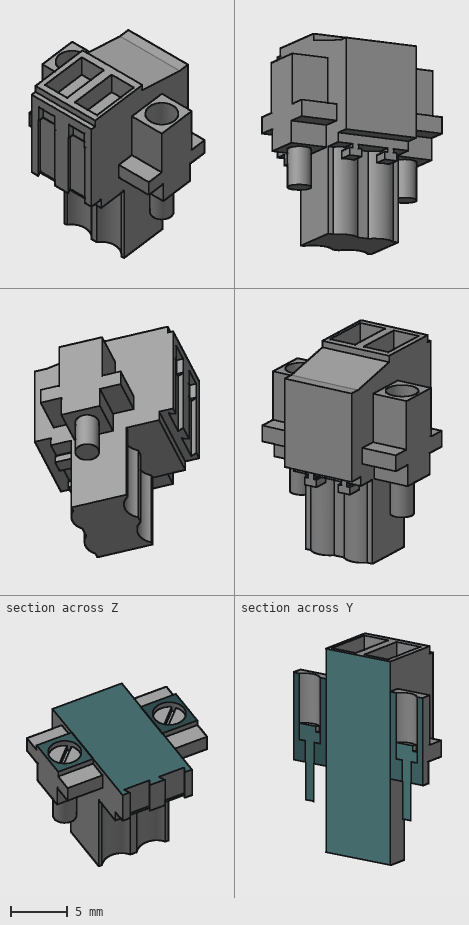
import cadquery as cq
import math


pitch = 3.5
pole_count = 2
housing_width = pole_count * pitch
back_y = 5.5
front_y = -7.4
roof_z = 10.8
wire_end_y = -0.6
roof_front_y = -6.9
front_shoulder_z = 10.1
slope_top_z = 10.2
slope_back_y = 4.4
back_top_z = 9.15
back_step_y = 4.0
back_step_z = 0.85
front_step_y = -6.1
front_step_z = 1.0
pole_centers = [(i - (pole_count - 1) / 2) * pitch for i in range(pole_count)]

plug_bottom_z = -7.9
plug_front_y = -3.05
plug_back_y = 2.1
pole_radius = pitch / 2
groove_depth = 0.74
lobe_height = 0.5

latch_neck_width = 0.6
latch_foot_width = 1.2
latch_neck_z = -0.35
latch_bottom_z = -1.05

pocket_width = 2.6
pocket_back_y = -1.35
pocket_front_y = -6.25
pocket_depth = 2.05
pocket_offset_x = 0.1

dovetail_mouth_width = 1.95
dovetail_undercut = 0.27
dovetail_depth = 0.57
dovetail_top_z = 7.5
window_width = 1.85
window_depth = 0.6
window_top_z = 9.1

flange_width = 3.5
flange_top_z = 8.05
tower_half_y = 2.0
foot_half_y = 1.8
wing_half_y = 3.73
wing_bottom_z = 2.0
wing_top_z = 3.5
flange_center_x = (housing_width + flange_width) / 2

head_diameter = 2.9
shank_diameter = 2.1
screw_bottom_z = -3.45
head_bottom_z = wing_bottom_z
head_top_z = wing_top_z
drive_slot_width = 0.4
drive_slot_depth = 0.5
drive_slot_angle = 45


def box_between(x_range, y_range, z_range):
    """Box spanning the given (low, high) limits along each axis."""
    (x0, x1), (y0, y1), (z0, z1) = x_range, y_range, z_range
    return cq.Workplane("XY").box(x1 - x0, y1 - y0, z1 - z0, centered=False).translate((x0, y0, z0))


def span(center, width):
    """Low and high limits of a width centered on a place."""
    return (center - width / 2, center + width / 2)


def side_extrusion(points, center_x, width):
    """Closed (Y, Z) outline extruded along X, centered on center_x."""
    return cq.Workplane("YZ").polyline(points).close().extrude(width / 2, both=True).translate((center_x, 0, 0))


def make_shell():
    outline = [
        (back_step_y, 0),
        (back_step_y, back_step_z),
        (back_y, back_step_z),
        (back_y, back_top_z),
        (slope_back_y, back_top_z),
        (wire_end_y, slope_top_z),
        (wire_end_y, roof_z),
        (roof_front_y, roof_z),
        (roof_front_y, front_shoulder_z),
        (front_y, front_shoulder_z),
        (front_y, front_step_z),
        (front_step_y, front_step_z),
        (front_step_y, 0),
    ]
    return side_extrusion(outline, 0, housing_width)


def make_plug():
    """Contact plug with a concave groove in front and a convex lobe behind each pole."""
    groove_half = math.sqrt(pole_radius**2 - (pole_radius - groove_depth) ** 2)
    lobe_half = math.sqrt(pole_radius**2 - (pole_radius - lobe_height) ** 2)
    half_width = housing_width / 2
    outline = cq.Workplane("XY").moveTo(-half_width, plug_front_y)
    for x in pole_centers:
        outline = outline.lineTo(x - groove_half, plug_front_y).threePointArc(
            (x, plug_front_y + groove_depth), (x + groove_half, plug_front_y)
        )
    outline = outline.lineTo(half_width, plug_front_y).lineTo(half_width, plug_back_y)
    for x in reversed(pole_centers):
        outline = outline.lineTo(x + lobe_half, plug_back_y).threePointArc(
            (x, plug_back_y + lobe_height), (x - lobe_half, plug_back_y)
        )
    return outline.lineTo(-half_width, plug_back_y).close().extrude(plug_bottom_z)


def make_latch(x):
    """Narrow neck under the housing carrying a wider foot."""
    y_range = (plug_back_y, back_step_y)
    neck = box_between(span(x, latch_neck_width), y_range, (latch_neck_z, 0))
    foot = box_between(span(x, latch_foot_width), y_range, (latch_bottom_z, latch_neck_z))
    return neck.union(foot)


def make_wire_pocket(x):
    return box_between(
        span(x + pocket_offset_x, pocket_width),
        (pocket_front_y, pocket_back_y),
        (roof_z - pocket_depth, roof_z),
    )


def make_front_slot(x):
    """Dovetail groove, open at the bottom, topped by a slightly narrower window."""
    mouth_half = dovetail_mouth_width / 2
    floor_half = mouth_half + dovetail_undercut
    floor_y = front_y + dovetail_depth
    dovetail = (
        cq.Workplane("XY", origin=(x, 0, front_step_z))
        .polyline(
            [(-mouth_half, front_y), (mouth_half, front_y), (floor_half, floor_y), (-floor_half, floor_y)]
        )
        .close()
        .extrude(dovetail_top_z - front_step_z)
    )
    window = box_between(
        span(x, window_width), (front_y, front_y + window_depth), (dovetail_top_z, window_top_z)
    )
    return dovetail.union(window)


def make_housing():
    body = make_shell().union(make_plug())
    for x in pole_centers:
        body = body.union(make_latch(x))
        body = body.cut(make_wire_pocket(x))
        body = body.cut(make_front_slot(x))
    return body


def make_flange(x):
    """Cross-shaped block with a stepped hole for the screw."""
    right_side = [
        (foot_half_y, 0),
        (foot_half_y, wing_bottom_z),
        (wing_half_y, wing_bottom_z),
        (wing_half_y, wing_top_z),
        (tower_half_y, wing_top_z),
        (tower_half_y, flange_top_z),
    ]
    left_side = [(-y, z) for y, z in reversed(right_side)]
    block = side_extrusion(right_side + left_side, x, flange_width)
    shank_hole = cq.Workplane("XY", origin=(x, 0, 0)).circle(shank_diameter / 2).extrude(head_bottom_z)
    head_hole = (
        cq.Workplane("XY", origin=(x, 0, head_bottom_z))
        .circle(head_diameter / 2)
        .extrude(flange_top_z - head_bottom_z)
    )
    return block.cut(shank_hole).cut(head_hole)


def make_screw(x):
    """Plain shank with a round slotted head."""
    shank = (
        cq.Workplane("XY", origin=(x, 0, screw_bottom_z))
        .circle(shank_diameter / 2)
        .extrude(head_bottom_z - screw_bottom_z)
    )
    head = (
        cq.Workplane("XY", origin=(x, 0, head_bottom_z))
        .circle(head_diameter / 2)
        .extrude(head_top_z - head_bottom_z)
    )
    drive_slot = (
        cq.Workplane("XY", origin=(x, 0, head_top_z))
        .transformed(rotate=(0, 0, drive_slot_angle))
        .rect(2 * head_diameter, drive_slot_width)
        .extrude(-drive_slot_depth)
    )
    return shank.union(head).cut(drive_slot)


housing = make_housing()
flange_places = (-flange_center_x, flange_center_x)
flanges = [make_flange(x) for x in flange_places]
screws = [make_screw(x) for x in flange_places]

result = cq.Compound.makeCompound(
    [housing.val(), *[flange.val() for flange in flanges], *[screw.val() for screw in screws]]
)